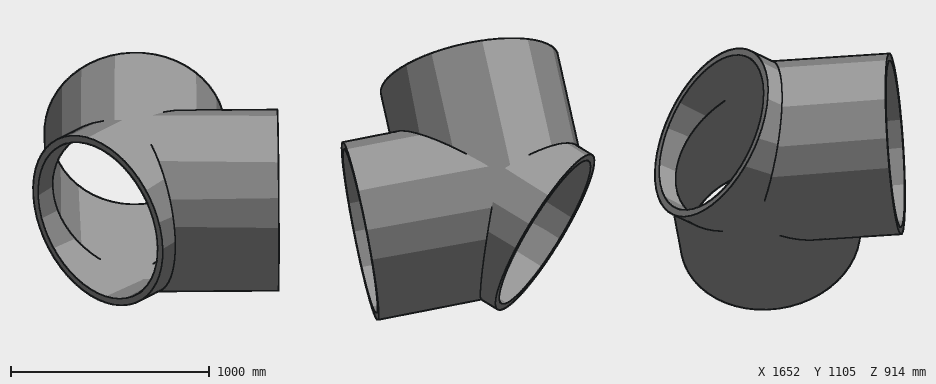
import cadquery as cq
import math

overall_width = 1652.0
overall_depth = 1105.0
outer_diameter = 914.0
inner_diameter = 841.0
branch_angle = 45.0

angle = math.radians(branch_angle)
outer_radius = outer_diameter / 2
branch_length = (overall_width / 2 - outer_radius * math.cos(angle)) / math.sin(angle)
branch_reach = branch_length * math.cos(angle) + outer_radius * math.sin(angle)
inlet_length = overall_depth - branch_reach


def leg(direction, length, diameter):
    """Solid cylinder from the origin along a direction."""
    return cq.Workplane(
        cq.Solid.makeCylinder(diameter / 2, length, cq.Vector(0, 0, 0), cq.Vector(*direction))
    )


def junction(diameter):
    """Union of the inlet and both branches at one diameter."""
    body = leg((0, -1, 0), inlet_length, diameter)
    for side in (-1, 1):
        direction = (side * math.sin(angle), math.cos(angle), 0)
        body = body.union(leg(direction, branch_length, diameter))
    return body


envelope = cq.Workplane("XY").box(overall_width, overall_depth, outer_diameter).translate(
    (0, overall_depth / 2 - inlet_length, 0)
)

result = junction(outer_diameter).intersect(envelope).cut(junction(inner_diameter))